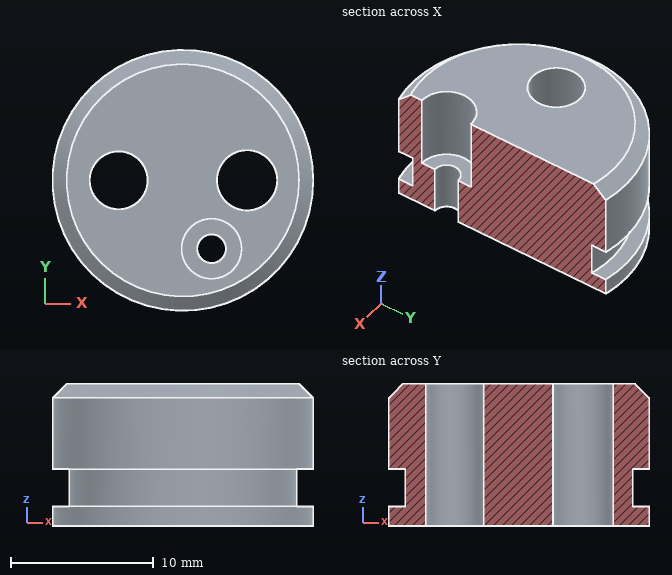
import cadquery as cq

outer_diameter = 18.3
groove_diameter = 16.0
height = 10.0
flange_height = 1.39
groove_height = 2.6
top_chamfer = 1.0

side_hole_offset = 4.5
left_hole_diameter = 4.05
right_hole_diameter = 4.2

bore_x = 2.01
bore_y = -4.8
bore_diameter = 2.0
counterbore_diameter = right_hole_diameter
counterbore_depth = height - flange_height - groove_height


def make_body():
    """Round plug with a chamfered top edge and a groove above the base flange."""
    body = cq.Workplane("XY").circle(outer_diameter / 2).extrude(height)
    body = body.faces(">Z").edges().chamfer(top_chamfer)
    groove = (
        cq.Workplane("XY")
        .workplane(offset=flange_height)
        .circle(outer_diameter / 2)
        .circle(groove_diameter / 2)
        .extrude(groove_height)
    )
    return body.cut(groove)


def vertical_cutter(x, y, diameter, depth):
    """Cylinder reaching down from the top face by the given depth."""
    return (
        cq.Workplane("XY")
        .workplane(offset=height)
        .center(x, y)
        .circle(diameter / 2)
        .extrude(-depth)
    )


result = (
    make_body()
    .cut(vertical_cutter(-side_hole_offset, 0, left_hole_diameter, height))
    .cut(vertical_cutter(side_hole_offset, 0, right_hole_diameter, height))
    .cut(vertical_cutter(bore_x, bore_y, bore_diameter, height))
    .cut(vertical_cutter(bore_x, bore_y, counterbore_diameter, counterbore_depth))
)